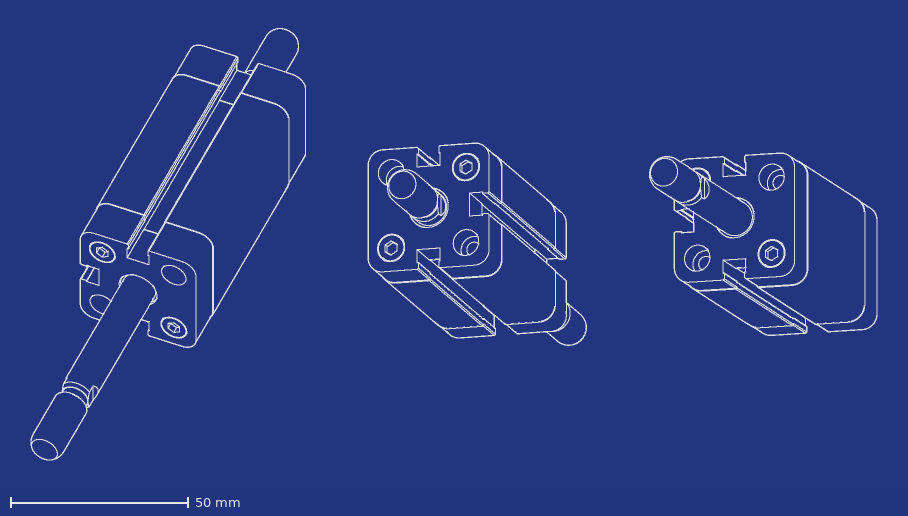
import cadquery as cq
import math


barrel_width = 36.1
cap_width = 35.6
barrel_corner_radius = 4.8
cap_corner_radius = 4.3
front_cap_length = 11.9
barrel_length = 53.7
rear_cap_length = 12.4
housing_length = front_cap_length + barrel_length + rear_cap_length

slot_mouth_width = 6.0
slot_mouth_chamfer = 0.35
slot_channel_width = 6.7
slot_lip_depth = 2.0
cap_slot_depth = 5.75
barrel_slot_depth = 6.2
slot_angles = (0, 90, 180)

hole_offset = 22.0 / 2
through_hole_diameter = 4.13
counterbore_diameter = 7.5
counterbore_depth = 8.0
screw_recess_diameter = 8.0
screw_head_diameter = 7.5
screw_head_height = 4.0
socket_across_flats = 3.5
socket_depth = 2.0

rod_recess_diameter = 11.6
rod_recess_depth = 1.0

rod_diameter = 10.0
total_length = 171.0
stroke = 40.0
rear_reach = (total_length - housing_length - stroke) / 2
front_reach = rear_reach + stroke
neck_diameter = 7.8
neck_length = 2.6
thread_length = 19.2
tip_diameter = 8.0
tip_round_length = 2.7
shoulder_chamfer = 0.95
thread_start_chamfer = 0.6
wrench_flat_width = 8.0
wrench_flat_length = 3.5
wrench_flat_runout = 1.4


def front_plane(y):
    """Sketch plane at height y along the axis, facing -Y, with sketch axes along +X and +Z."""
    return cq.Workplane("XZ", origin=(0, y, 0))


def cylinder(diameter, y_start, length, x=0, z=0):
    return front_plane(y_start).center(x, z).circle(diameter / 2).extrude(-length)


def slot_cutter(width, depth, y_start, length):
    """Slot in the top face of a block, with a chamfered mouth narrower than the channel below."""
    top = width / 2
    floor = top - depth
    lip = top - slot_lip_depth
    half_mouth = slot_mouth_width / 2
    half_channel = slot_channel_width / 2
    right_side = [
        (half_channel, floor),
        (half_channel, lip),
        (half_mouth, lip),
        (half_mouth, top - slot_mouth_chamfer),
        (half_mouth + slot_mouth_chamfer, top),
    ]
    left_side = [(-x, z) for x, z in reversed(right_side)]
    return front_plane(y_start).polyline(right_side + left_side).close().extrude(-length)


def housing_section(width, corner_radius, slot_depth, y_start, length):
    """Square block with rounded corners and a slot in every slotted face."""
    block = front_plane(y_start).rect(width, width).extrude(-length)
    block = block.edges("|Y").fillet(corner_radius)
    slot = slot_cutter(width, slot_depth, y_start, length)
    for angle in slot_angles:
        block = block.cut(slot.rotate((0, 0, 0), (0, 1, 0), -angle))
    return block


def cap_section(y_start, length):
    return housing_section(cap_width, cap_corner_radius, cap_slot_depth, y_start, length)


def barrel_section(y_start, length):
    return housing_section(barrel_width, barrel_corner_radius, barrel_slot_depth, y_start, length)


def make_housing():
    front_cap = cap_section(0, front_cap_length)
    barrel = barrel_section(front_cap_length, barrel_length)
    rear_cap = cap_section(front_cap_length + barrel_length, rear_cap_length)
    return front_cap.union(barrel).union(rear_cap)


def cut_mounting_hole(housing, x, z):
    """Through hole with a counterbore at both caps."""
    housing = housing.cut(cylinder(through_hole_diameter, 0, housing_length, x, z))
    for y_start in (0, housing_length - counterbore_depth):
        housing = housing.cut(cylinder(counterbore_diameter, y_start, counterbore_depth, x, z))
    return housing


def add_cap_screws(housing, x, z):
    """Socket head screw, flush in a clearance recess, at both caps."""
    recess = cylinder(screw_recess_diameter, 0, screw_head_height, x, z)
    head = cylinder(screw_head_diameter, 0, screw_head_height, x, z)
    socket_across_corners = socket_across_flats / math.cos(math.pi / 6)
    socket = front_plane(0).center(x, z).transformed(rotate=(0, 0, 90))
    socket = socket.polygon(6, socket_across_corners).extrude(-socket_depth)
    front_cutter = recess.cut(head).union(socket)
    rear_cutter = front_cutter.mirror("XZ", (0, housing_length / 2, 0))
    return housing.cut(front_cutter).cut(rear_cutter)


def cut_rod_recesses(housing):
    for y_start in (0, housing_length - rod_recess_depth):
        housing = housing.cut(cylinder(rod_recess_diameter, y_start, rod_recess_depth))
    return housing


def make_front_rod_end(reach):
    """Rod end pointing to -Y from the mid-plane of the housing, reaching past Y = 0."""
    rod_radius = rod_diameter / 2
    neck_radius = neck_diameter / 2
    y_tip = -reach
    y_neck = y_tip + thread_length
    y_shoulder = y_neck + neck_length
    y_middle = housing_length / 2
    tip_drop = (rod_diameter - tip_diameter) / 2
    tip_round_radius = (tip_round_length**2 + tip_drop**2) / (2 * tip_drop)
    tip_half_angle = math.asin(tip_round_length / tip_round_radius) / 2
    tip_round_middle = (
        rod_radius - tip_round_radius * (1 - math.cos(tip_half_angle)),
        y_tip + tip_round_length - tip_round_radius * math.sin(tip_half_angle),
    )
    profile = (
        cq.Workplane("XY")
        .moveTo(0, y_tip)
        .lineTo(tip_diameter / 2, y_tip)
        .threePointArc(tip_round_middle, (rod_radius, y_tip + tip_round_length))
        .lineTo(rod_radius, y_neck - thread_start_chamfer)
        .lineTo(neck_radius, y_neck)
        .lineTo(neck_radius, y_shoulder)
        .lineTo(rod_radius - shoulder_chamfer, y_shoulder)
        .lineTo(rod_radius, y_shoulder + shoulder_chamfer)
        .lineTo(rod_radius, y_middle)
        .lineTo(0, y_middle)
        .close()
    )
    rod = profile.revolve(360, (0, 0, 0), (0, 1, 0))

    flat_outline = [
        (-wrench_flat_width / 2, y_shoulder),
        (-wrench_flat_width / 2, y_shoulder + wrench_flat_length),
        (-rod_radius, y_shoulder + wrench_flat_length + wrench_flat_runout),
        (-rod_radius, y_shoulder),
    ]
    flat = cq.Workplane("XY").polyline(flat_outline).close().extrude(rod_radius, both=True)
    return rod.cut(flat).cut(flat.mirror("YZ"))


def make_rod():
    front_end = make_front_rod_end(front_reach)
    rear_end = make_front_rod_end(rear_reach).mirror("XZ", (0, housing_length / 2, 0))
    return front_end.union(rear_end)


body = make_housing()
for side in (-1, 1):
    body = cut_mounting_hole(body, side * hole_offset, side * hole_offset)
    body = add_cap_screws(body, side * hole_offset, -side * hole_offset)
body = cut_rod_recesses(body)
result = body.union(make_rod())